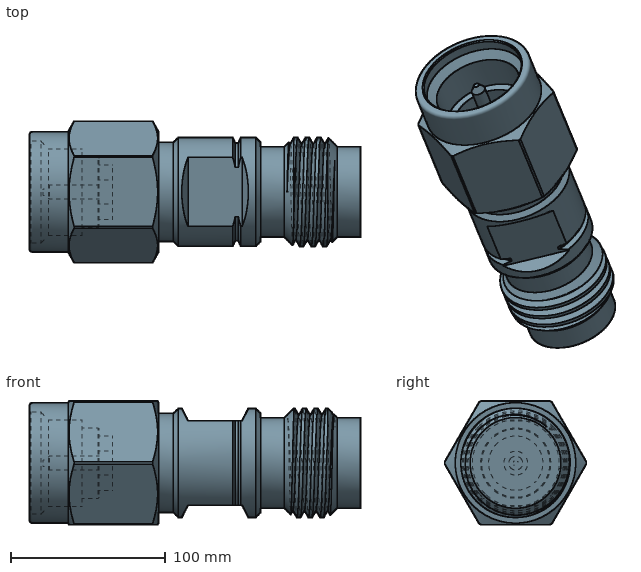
import cadquery as cq
import math


sleeve_radius = 39.0
sleeve_round = 2.1
hex_start = 25.0
hex_end = 83.5
hex_across_flats = 80.0
hex_corner_radius = 45.8
hex_face_radius = 39.0
hex_chamfer_length = 3.9

neck_radius = 32.1
body_start = 93.1
body_end = 149.5
body_radius = 35.3
body_chamfer = body_radius - neck_radius
barrel_radius = 29.3
total_length = 214.1

flat_half_height = 27.5
flat_start = 102.5
flat_end = 137.5
flat_end_slope_run = 4.0
flat_cutter_clearance = 2.1

groove_center = 134.0
groove_depth = 3.6
groove_mouth_width = 5.1
groove_floor_width = 2.0

thread_start = 164.9
thread_end = 199.0
thread_radius = body_radius
thread_root_radius = 30.8
thread_pitch = 7.5
thread_root_at_top = 166.5
thread_turns = 5
thread_half_angle = 30.0
thread_cutter_clearance = 0.9

mouth_radius = 33.0
mouth_chamfer = 0.9
mouth_depth = 7.3
bore_radius = 28.0
bore_depth = 33.8
seat_radius = 22.7
seat_chamfer = 0.6
seat_depth = 45.0
gap_radius = 17.5
gap_depth = 53.5

conductor_radius = 7.7
pin_radius = 4.5
pin_tip_radius = 1.7
pin_tip = 8.5
pin_shoulder_radius = 3.6
pin_shoulder_start = 11.5
pin_shoulder_end = 12.8


def revolve_about_x(points):
    """Close an (x, radius) outline and spin it about the X axis."""
    return cq.Workplane("XY").polyline(points).close().revolve(360, (0, 0, 0), (1, 0, 0))


def make_turned_body():
    thread_rise = thread_radius - barrel_radius
    sleeve = (
        cq.Workplane("YZ").circle(sleeve_radius).extrude(hex_start)
        .faces("<X").edges().fillet(sleeve_round)
    )
    shank = revolve_about_x([
        (hex_start, 0),
        (hex_start, neck_radius),
        (body_start, neck_radius),
        (body_start + body_chamfer, body_radius),
        (body_end - body_chamfer, body_radius),
        (body_end, neck_radius),
        (body_end, barrel_radius),
        (thread_start, barrel_radius),
        (thread_start + thread_rise, thread_radius),
        (thread_end - thread_rise, thread_radius),
        (thread_end, barrel_radius),
        (total_length, barrel_radius),
        (total_length, 0),
    ])
    return sleeve.union(shank)


def make_hexagon():
    across_corners = hex_across_flats / math.cos(math.radians(30))
    prism = (
        cq.Workplane("YZ").workplane(offset=hex_start)
        .polygon(6, across_corners).extrude(hex_end - hex_start)
    )
    chamfered_round = revolve_about_x([
        (hex_start, 0),
        (hex_start, hex_face_radius),
        (hex_start + hex_chamfer_length, hex_corner_radius),
        (hex_end - hex_chamfer_length, hex_corner_radius),
        (hex_end, hex_face_radius),
        (hex_end, 0),
    ])
    return prism.intersect(chamfered_round)


def make_spanner_flat(side):
    """Cutter for the flat on the +Z (side = 1) or -Z (side = -1) face."""
    outer_height = body_radius + flat_cutter_clearance
    slope = flat_end_slope_run / (body_radius - flat_half_height)
    run = slope * (outer_height - flat_half_height)
    return (
        cq.Workplane("XZ")
        .polyline([
            (flat_start, side * flat_half_height),
            (flat_end, side * flat_half_height),
            (flat_end + run, side * outer_height),
            (flat_start - run, side * outer_height),
        ])
        .close()
        .extrude(body_radius, both=True)
    )


def make_ring_groove():
    floor_radius = body_radius - groove_depth
    return revolve_about_x([
        (groove_center - groove_floor_width / 2, floor_radius),
        (groove_center - groove_mouth_width / 2, body_radius),
        (groove_center + groove_mouth_width / 2, body_radius),
        (groove_center + groove_floor_width / 2, floor_radius),
    ])


def make_thread_groove():
    """V cutter swept along a left-handed helix that passes +Z at thread_root_at_top."""
    outer_radius = thread_radius + thread_cutter_clearance
    half_width = (outer_radius - thread_root_radius) * math.tan(math.radians(thread_half_angle))
    helix = cq.Wire.makeHelix(
        thread_pitch, thread_turns * thread_pitch, thread_root_radius, lefthand=True
    )
    groove = (
        cq.Workplane("XZ")
        .polyline([
            (thread_root_radius, 0),
            (outer_radius, half_width),
            (outer_radius, -half_width),
        ])
        .close()
        .sweep(cq.Workplane(helix), isFrenet=True)
    )
    along_x = groove.rotate((0, 0, 0), (0, 1, 0), 90).rotate((0, 0, 0), (1, 0, 0), 180)
    return along_x.translate((thread_root_at_top, 0, 0))


def make_socket():
    mouth_cone_end = mouth_depth + mouth_radius - bore_radius
    return revolve_about_x([
        (0, 0),
        (0, mouth_radius + mouth_chamfer),
        (mouth_chamfer, mouth_radius),
        (mouth_depth, mouth_radius),
        (mouth_cone_end, bore_radius),
        (bore_depth, bore_radius),
        (bore_depth, seat_radius),
        (seat_depth - seat_chamfer, seat_radius),
        (seat_depth, seat_radius - seat_chamfer),
        (seat_depth, gap_radius),
        (gap_depth, gap_radius),
        (gap_depth, 0),
    ])


def make_center_conductor():
    return revolve_about_x([
        (pin_tip, 0),
        (pin_tip, pin_tip_radius),
        (pin_shoulder_start, pin_shoulder_radius),
        (pin_shoulder_end, pin_radius),
        (seat_depth, pin_radius),
        (seat_depth, conductor_radius),
        (gap_depth, conductor_radius),
        (gap_depth, 0),
    ])


result = make_turned_body().union(make_hexagon())
for flat_side in (1, -1):
    result = result.cut(make_spanner_flat(flat_side))
result = result.cut(make_ring_groove())
result = result.cut(make_thread_groove())
result = result.cut(make_socket())
result = result.union(make_center_conductor())